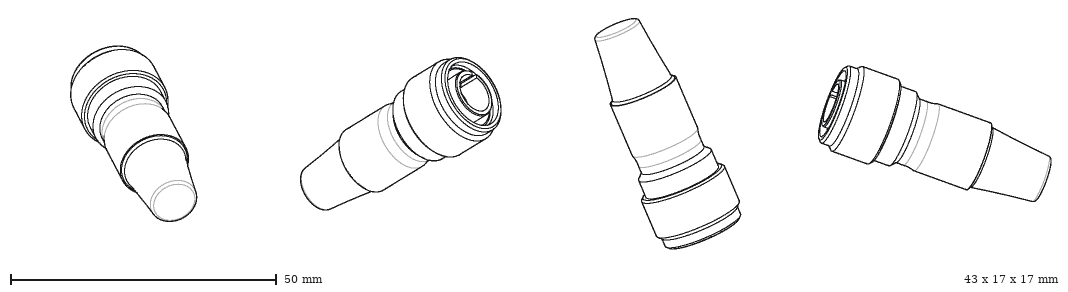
import cadquery as cq

length = 43.0

shell_front = 0.4
nose_radius = 7.75
nose_chamfer = 0.47
nose_end = 2.5
barrel_diameter = 17.0
barrel_radius = barrel_diameter / 2
barrel_front_chamfer = 0.77
barrel_end = 10.92
barrel_rear_chamfer = 0.45

collar_radius = 7.45
collar_end = 14.45
neck_radius = 6.4
neck_start = 15.5
neck_end = 17.0

body_radius = 6.7
body_start = 19.25
flare_sag = 0.15
body_end = 29.93
tail_step = 0.25
tail_start = 30.45
tail_radius = 6.0
tail_end_radius = 4.55
tail_sag = 0.1
tail_rounding = 0.5

mouth_radius = 6.6
mouth_depth = 1.8
seat_radius = 6.25
seat_depth = 2.25
cavity_radius = 5.98
cavity_depth = 7.75

tube_radius = 4.7
tube_bore_radius = 3.8
tube_chamfer_width = 0.15
tube_chamfer_length = 0.25
insert_face = 5.15
insert_chamfer = 0.2
slot_width = 1.2
slot_depth = 4.3


def revolve_about_x(outline):
    """Full turn of a closed half outline about the X axis."""
    return outline.revolve(360, (0, 0, 0), (1, 0, 0))


def outer_body():
    """Solid of revolution with the full outer outline, before the socket is bored."""
    nose_ring = nose_radius - nose_chamfer
    flare_middle = ((neck_end + body_start) / 2, (neck_radius + body_radius) / 2 - flare_sag)
    tail_end = length - tail_rounding
    tail_middle = ((tail_start + tail_end) / 2, (tail_radius + tail_end_radius) / 2 - tail_sag)
    outline = (
        cq.Workplane("XY")
        .moveTo(shell_front, 0)
        .lineTo(shell_front, nose_ring)
        .lineTo(shell_front + nose_chamfer, nose_radius)
        .lineTo(nose_end, nose_radius)
        .lineTo(nose_end + barrel_front_chamfer, barrel_radius)
        .lineTo(barrel_end - barrel_rear_chamfer, barrel_radius)
        .lineTo(barrel_end, barrel_radius - barrel_rear_chamfer)
        .lineTo(barrel_end, collar_radius)
        .lineTo(collar_end, collar_radius)
        .lineTo(neck_start, neck_radius)
        .lineTo(neck_end, neck_radius)
        .threePointArc(flare_middle, (body_start, body_radius))
        .lineTo(body_end, body_radius)
        .lineTo(body_end, body_radius - tail_step)
        .lineTo(tail_start, tail_radius)
        .threePointArc(tail_middle, (tail_end, tail_end_radius))
        .radiusArc((length, tail_end_radius - tail_rounding), tail_rounding)
        .lineTo(length, 0)
        .close()
    )
    return revolve_about_x(outline)


def socket_cavity():
    """Stepped bore of the shell: wide mouth, conical seat, then the deep cavity."""
    outline = (
        cq.Workplane("XY")
        .moveTo(0, 0)
        .lineTo(0, mouth_radius)
        .lineTo(mouth_depth, mouth_radius)
        .lineTo(seat_depth, seat_radius)
        .lineTo(seat_depth, cavity_radius)
        .lineTo(cavity_depth, cavity_radius)
        .lineTo(cavity_depth, 0)
        .close()
    )
    return revolve_about_x(outline)


def contact_tube():
    """Tube standing on the cavity floor, slotted along its top."""
    outline = (
        cq.Workplane("XY")
        .moveTo(0, tube_bore_radius)
        .lineTo(0, tube_radius - tube_chamfer_width)
        .lineTo(tube_chamfer_length, tube_radius)
        .lineTo(cavity_depth, tube_radius)
        .lineTo(cavity_depth, tube_bore_radius)
        .close()
    )
    tube = revolve_about_x(outline)
    slot = cq.Workplane("XY").box(slot_depth, slot_width, tube_radius, centered=(False, True, False))
    return tube.cut(slot)


def contact_insert():
    """Insert closing the tube bore, with a chamfered front edge."""
    return (
        cq.Workplane("YZ")
        .workplane(offset=insert_face)
        .circle(tube_bore_radius)
        .extrude(cavity_depth - insert_face)
        .faces("<X")
        .chamfer(insert_chamfer)
    )


result = outer_body().cut(socket_cavity()).union(contact_tube()).union(contact_insert())